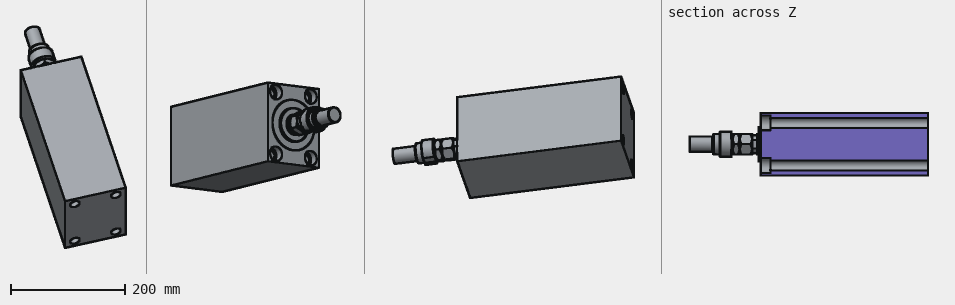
import cadquery as cq
import math


block_length = 293.0
block_width = 110.0
block_height = 140.0
bolt_spacing_y = 74.5
bolt_spacing_z = 109.5
bolt_hole_diameter = 17.0
counterbore_diameter = 25.5
counterbore_depth = 17.0

gland_diameter = 90.0
gland_depth = 30.0
gland_chamfer = 0.5
boss_diameter = 60.0
boss_length = 4.0
boss_chamfer = 0.8

rod_diameter = 36.0
rod_collar_length = 2.5
flats_length = 8.0
flats_diameter = 35.0
flats_width = 32.0
hexagon_width = 36.0
hexagon_length = 22.0
hexagon_face_diameter = 34.5
hexagon_chamfer_angle = 40.0

nut_length = 12.5

stem_diameter = 20.0
neck_length = 2.0
head_diameter = 44.0
head_length = 20.5
keyway_width = 20.0
keyway_floor_distance = 15.0
head_chamfer = 1.2
shoulder_diameter = 36.0
shoulder_length = 11.5
shoulder_chamfer = 1.2
undercut_diameter = 23.0
undercut_length = 1.5
stud_diameter = 27.0
stud_chamfer = 0.8
overall_length = 417.5

boss_end = -boss_length
flats_start = boss_end - rod_collar_length
hexagon_start = flats_start - flats_length
nut_start = hexagon_start - hexagon_length
nut_end = nut_start - nut_length
head_start = nut_end - neck_length
shoulder_start = head_start - head_length
undercut_start = shoulder_start - shoulder_length
stud_start = undercut_start - undercut_length
stud_end = block_length - overall_length

hexagon_corner_diameter = hexagon_width / math.cos(math.radians(30))


def cylinder_between(x_start, x_end, diameter):
    """Solid cylinder on the X axis, from x_start to the greater x_end."""
    return cq.Workplane("YZ", origin=(x_start, 0, 0)).circle(diameter / 2).extrude(x_end - x_start)


def hexagon_between(x_start, x_end):
    """Hexagon prism on the X axis with corners up and down and both ends turned to a chamfer."""
    prism = (
        cq.Workplane("YZ", origin=(x_start, 0, 0))
        .transformed(rotate=(0, 0, 90))
        .polygon(6, hexagon_corner_diameter)
        .extrude(x_end - x_start)
    )
    corner_radius = hexagon_corner_diameter / 2
    face_radius = hexagon_face_diameter / 2
    setback = (corner_radius - face_radius) * math.tan(math.radians(hexagon_chamfer_angle))
    turned = (
        cq.Workplane("XY")
        .moveTo(x_start, 0)
        .lineTo(x_start, face_radius)
        .lineTo(x_start + setback, corner_radius)
        .lineTo(x_end - setback, corner_radius)
        .lineTo(x_end, face_radius)
        .lineTo(x_end, 0)
        .close()
        .revolve(360, (0, 0, 0), (1, 0, 0))
    )
    return prism.intersect(turned)


def make_block():
    block = cq.Workplane("XY").box(block_length, block_width, block_height, centered=(False, True, True))
    block = (
        block.faces("<X").workplane(centerOption="CenterOfBoundBox")
        .rect(bolt_spacing_y, bolt_spacing_z, forConstruction=True)
        .vertices()
        .cboreHole(bolt_hole_diameter, counterbore_diameter, counterbore_depth)
    )
    return block.cut(cylinder_between(0, gland_depth, gland_diameter))


def make_gland():
    flange = cylinder_between(0, gland_depth, gland_diameter).faces("<X").chamfer(gland_chamfer)
    boss = cylinder_between(boss_end, 0, boss_diameter).faces("<X").chamfer(boss_chamfer)
    return flange.union(boss).cut(cylinder_between(boss_end, gland_depth, rod_diameter))


def make_rod():
    shaft = cylinder_between(flats_start, gland_depth, rod_diameter)
    flats_square = cq.Workplane("YZ", origin=(hexagon_start, 0, 0)).rect(flats_width, flats_width)
    flats = cylinder_between(hexagon_start, flats_start, flats_diameter).intersect(
        flats_square.extrude(flats_length)
    )
    head = hexagon_between(nut_start, hexagon_start)
    return shaft.union(flats).union(head).cut(cylinder_between(nut_start, hexagon_start, stem_diameter))


def make_lock_nut():
    return hexagon_between(nut_end, nut_start).cut(cylinder_between(nut_end, nut_start, stem_diameter))


def make_coupling():
    stem = cylinder_between(head_start, hexagon_start, stem_diameter)
    head = cylinder_between(shoulder_start, head_start, head_diameter).faces("<X").chamfer(head_chamfer)
    keyway_floor = cq.Workplane("XY", origin=(shoulder_start, 0, -keyway_floor_distance))
    keyway = keyway_floor.center(head_length / 2, 0).rect(head_length, keyway_width).extrude(-head_diameter)
    shoulder = cylinder_between(undercut_start, shoulder_start, shoulder_diameter)
    shoulder = shoulder.faces("<X").chamfer(shoulder_chamfer)
    undercut = cylinder_between(stud_start, undercut_start, undercut_diameter)
    stud = cylinder_between(stud_end, stud_start, stud_diameter).faces("<X").chamfer(stud_chamfer)
    return stem.union(head.cut(keyway)).union(shoulder).union(undercut).union(stud)


block = make_block()
gland = make_gland()
rod = make_rod()
lock_nut = make_lock_nut()
coupling = make_coupling()

result = cq.Compound.makeCompound(
    [block.val(), gland.val(), rod.val(), lock_nut.val(), coupling.val()]
)